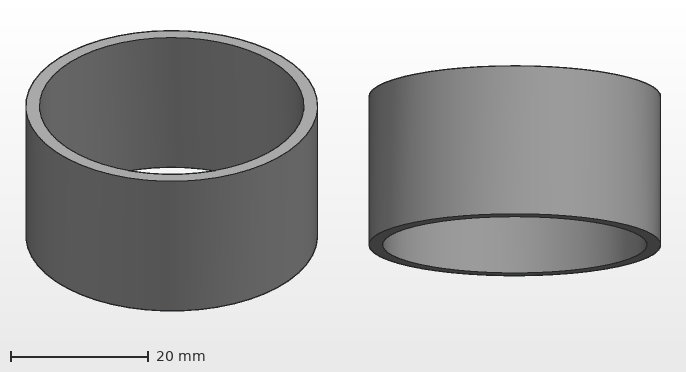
import cadquery as cq

outer_diameter = 42.4
wall_thickness = 2.0
height = 22.0

inner_diameter = outer_diameter - 2 * wall_thickness

result = (
    cq.Workplane("XY")
    .circle(outer_diameter / 2)
    .circle(inner_diameter / 2)
    .extrude(height)
)